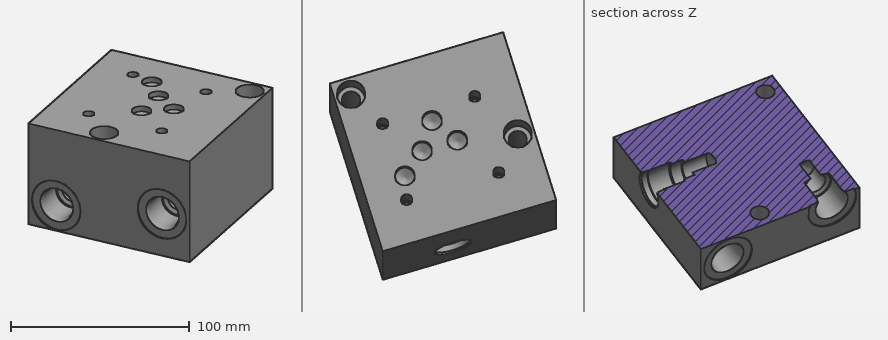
import cadquery as cq
import math

side = 101.6
height = 63.5

drill_point_angle = 118.0
chamfer_angle = 90.0


def cone_depth(large_diameter, small_diameter=0.0, angle=drill_point_angle):
    """Length of a cone of the given full angle between two diameters."""
    return (large_diameter - small_diameter) / 2 / math.tan(math.radians(angle / 2))


def bore(mouth, inward, sections):
    """Revolved cutter that starts at the mouth and runs inward.

    The sections are (diameter, depth) corners of its half profile, mouth first.
    """
    inward = cq.Vector(*inward)
    radial = cq.Vector(1, 0, 0) if inward.x == 0 else cq.Vector(0, 1, 0)
    plane = cq.Plane(origin=mouth, xDir=radial, normal=radial.cross(inward))
    profile = cq.Workplane(plane)
    for diameter, depth in sections:
        profile = profile.lineTo(diameter / 2, depth)
    bottom_depth = sections[-1][1]
    if sections[-1][0] > 0:
        profile = profile.lineTo(0, bottom_depth)
    return profile.close().revolve(360, (0, 0), (0, 1))


port_edge_distance = 17.5
port_a_z = 26.2
port_b_z = 15.8
front_ports = [(port_edge_distance, port_b_z), (side - port_edge_distance, port_a_z)]

spotface_diameter = 30.6
spotface_depth = 0.8
seal_mouth_diameter = 20.6
seal_depth = 3.4
thread_diameter = 19.1
thread_depth = 18.3
step_outer_diameter = 17.5
step_inner_diameter = 15.8
step_cone_angle = 130.0
passage_diameter = 12.7
passage_depth = 32.5


def front_port(x, z):
    """Spotface, tapered seal seat, thread, stepped cone and a drilled passage."""
    step_end = thread_depth + cone_depth(step_outer_diameter, step_inner_diameter, step_cone_angle)
    passage_start = step_end + cone_depth(step_inner_diameter, passage_diameter)
    sections = [
        (spotface_diameter, 0),
        (spotface_diameter, spotface_depth),
        (seal_mouth_diameter, spotface_depth),
        (thread_diameter, seal_depth),
        (thread_diameter, thread_depth),
        (step_outer_diameter, thread_depth),
        (step_inner_diameter, step_end),
        (passage_diameter, passage_start),
        (passage_diameter, passage_depth),
        (0, passage_depth + cone_depth(passage_diameter)),
    ]
    return bore((x, 0, z), (0, 1, 0), sections)


cavity_y = 60.4
cavity_z = port_a_z

rim_diameter = 21.8
rim_depth = 1.1
entry_diameter = 20.6
entry_depth = 4.8
seat_diameter = 20.0
seat_depth = 18.3
lead_in_diameter = 18.5
nose_diameter = 17.5
nose_depth = 25.4
cavity_drill_diameter = 14.3
cavity_drill_depth = 40.6


def left_cavity():
    """Shallow rim, two chamfered steps, a flat nose seat and a drilled passage."""
    sections = [
        (rim_diameter, 0),
        (rim_diameter, rim_depth),
        (entry_diameter, rim_depth),
        (entry_diameter, entry_depth),
        (seat_diameter, entry_depth + cone_depth(entry_diameter, seat_diameter, chamfer_angle)),
        (seat_diameter, seat_depth),
        (lead_in_diameter, seat_depth),
        (nose_diameter, seat_depth + cone_depth(lead_in_diameter, nose_diameter, chamfer_angle)),
        (nose_diameter, nose_depth),
        (cavity_drill_diameter, nose_depth),
        (cavity_drill_diameter, cavity_drill_depth),
        (0, cavity_drill_depth + cone_depth(cavity_drill_diameter)),
    ]
    return bore((0, cavity_y, cavity_z), (1, 0, 0), sections)


down = (0, 0, -1)

valve_ports = [(38.1, 77.0), (49.3, 63.5), (64.3, 53.1), (49.3, 42.9)]
valve_port_diameter = 11.1
valve_port_depth = 3.3

bolt_center_x = 47.7
bolt_center_y = 53.1
bolt_spacing_x = 46.0
bolt_spacing_y = 54.0
bolt_thread_diameter = 6.3
bolt_thread_depth = 13.2
bolt_drill_diameter = 5.1
bolt_drill_depth = 16.3


def valve_port(x, y):
    """Short drilled hole with a conical bottom."""
    sections = [
        (valve_port_diameter, 0),
        (valve_port_diameter, valve_port_depth),
        (0, valve_port_depth + cone_depth(valve_port_diameter)),
    ]
    return bore((x, y, height), down, sections)


def bolt_hole(x, y):
    """Threaded hole with a narrower drilled end."""
    sections = [
        (bolt_thread_diameter, 0),
        (bolt_thread_diameter, bolt_thread_depth),
        (bolt_drill_diameter, bolt_thread_depth),
        (bolt_drill_diameter, bolt_drill_depth),
        (0, bolt_drill_depth + cone_depth(bolt_drill_diameter)),
    ]
    return bore((x, y, height), down, sections)


block_screws = [(92.0, 92.0), (42.9, 9.4)]
screw_clearance_diameter = 10.3
screw_head_diameter = 15.8
screw_head_depth = 13.2


def screw_hole(x, y):
    """Counterbore with a clearance hole down to the bottom face."""
    sections = [
        (screw_head_diameter, 0),
        (screw_head_diameter, screw_head_depth),
        (screw_clearance_diameter, screw_head_depth),
        (screw_clearance_diameter, height),
    ]
    return bore((x, y, height), down, sections)


result = cq.Workplane("XY").box(side, side, height, centered=False)

for x, z in front_ports:
    result = result.cut(front_port(x, z))

result = result.cut(left_cavity())

for x, y in valve_ports:
    result = result.cut(valve_port(x, y))

for x_sign in (-1, 1):
    for y_sign in (-1, 1):
        bolt_x = bolt_center_x + x_sign * bolt_spacing_x / 2
        bolt_y = bolt_center_y + y_sign * bolt_spacing_y / 2
        result = result.cut(bolt_hole(bolt_x, bolt_y))

for x, y in block_screws:
    result = result.cut(screw_hole(x, y))